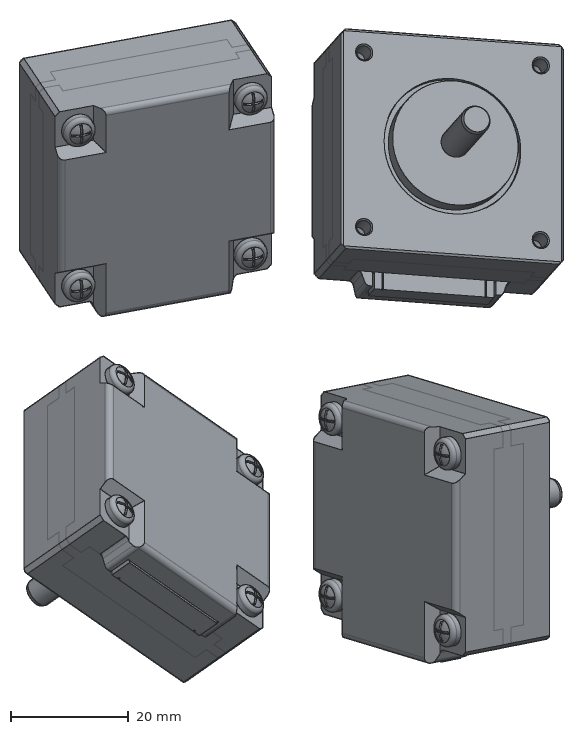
import cadquery as cq
import math


body_size = 39.0
body_length = 20.8
half_size = body_size / 2
corner_chamfer = 0.8
front_chamfer_depth = 0.4
front_chamfer_width = 0.2
rear_fillet = 1.0

shaft_diameter = 5.0
shaft_reach = 16.5
shaft_chamfer_length = 0.6
shaft_chamfer_height = 0.25
pilot_diameter = 22.0
pilot_height = 2.0
pilot_groove_diameter = 24.0
pilot_groove_depth = 1.0

bolt_spacing = 31.0
tap_diameter = 2.5
tap_depth = 4.5
tap_mouth_diameter = 3.0
tap_point_angle = 118.0

band_start = 8.6
band_end = 10.4
window_start = 5.9
window_end = 12.4
window_half_length = 15.9

notch_floor = 18.6
notch_edge_at_floor = 12.6
notch_edge_at_rear = 11.1
notch_overrun = 1.0

head_radius = 2.83
head_straight_height = 1.0
shoulder_fillet = 0.83
head_height = 2.39
cross_width = 0.4
cross_length = 3.4
cross_depth = 0.6

outlet_bottom = 22.0
outlet_start = window_end
outlet_root_half_width = 13.35
outlet_flank_top = (12.7, -20.1)
outlet_flank_bottom = (12.2, -21.4)
outlet_bottom_half_width = 11.4
connector_half_width = 10.5
connector_bottom = 22.5
connector_length = 4.2
connector_gap = 0.35
connector_groove_offset = 9.05
connector_groove_width = 0.25
connector_groove_depth = 0.3

corner_signs = [(sy, sz) for sy in (-1, 1) for sz in (-1, 1)]
bolt_places = [(sy * bolt_spacing / 2, sz * bolt_spacing / 2) for sy, sz in corner_signs]


def block(x0, x1, y0, y1, z0, z1):
    """Box between two corner points."""
    return cq.Workplane("XY").box(x1 - x0, y1 - y0, z1 - z0, centered=False).translate((x0, y0, z0))


def cylinder(diameter, x0, x1):
    """Cylinder on the shaft axis."""
    return cq.Workplane("YZ", origin=(x0, 0, 0)).circle(diameter / 2).extrude(x1 - x0)


def make_body():
    """Square body with a chamfered front rim and chamfered long corners."""
    body = block(0, body_length, -half_size, half_size, -half_size, half_size)
    front_edges = body.faces("<X").edges()
    body = front_edges.chamfer(front_chamfer_depth, front_chamfer_width)
    corners = cq.Workplane("YZ").rect(body_size, body_size).extrude(body_length)
    return body.intersect(corners.edges("|X").chamfer(corner_chamfer))


def make_outlet():
    """Flared outlet whose flanks blend into the body and round off at the bottom."""
    half = (
        cq.Workplane("YZ", origin=(outlet_start, 0, 0))
        .moveTo(0, -half_size + corner_chamfer)
        .lineTo(0, -outlet_bottom)
        .lineTo(outlet_bottom_half_width, -outlet_bottom)
        .tangentArcPoint(outlet_flank_bottom, relative=False)
        .lineTo(*outlet_flank_top)
        .tangentArcPoint((outlet_root_half_width, -half_size), relative=False)
        .lineTo(outlet_root_half_width, -half_size + corner_chamfer)
        .close()
        .extrude(body_length - outlet_start)
    )
    return half.union(half.mirror("XZ"))


def make_rounded_envelope():
    """Block that bounds body and outlet, with the rear rim rounded."""
    envelope = block(0, body_length, -half_size, half_size, -outlet_bottom, half_size)
    return envelope.faces(">X").edges().fillet(rear_fillet)


def make_notch(sign_y, sign_z):
    """Square corner pocket whose two inner walls flare open toward the rear."""
    outer = outlet_bottom + notch_overrun
    depth = body_length - notch_floor
    side_at_floor = outer - notch_edge_at_floor
    side_at_rear = outer - notch_edge_at_rear
    middle = (notch_edge_at_floor + outer) / 2
    shift = (notch_edge_at_rear - notch_edge_at_floor) / 2
    return (
        cq.Workplane("YZ", origin=(notch_floor, 0, 0))
        .center(sign_y * middle, sign_z * middle)
        .rect(side_at_floor, side_at_floor)
        .workplane(offset=depth)
        .center(sign_y * shift, sign_z * shift)
        .rect(side_at_rear, side_at_rear)
        .loft(ruled=True)
    )


def make_screw_head():
    """Pan head with a rounded shoulder, a domed crown and a cross recess, standing on the origin along +X."""
    shoulder_height = head_straight_height + shoulder_fillet
    crown_radius = head_radius - shoulder_fillet
    crown_height = head_height - shoulder_height
    crown_sphere_radius = (crown_radius**2 + crown_height**2) / (2 * crown_height)
    head = (
        cq.Workplane("XY")
        .lineTo(0, head_radius)
        .lineTo(head_straight_height, head_radius)
        .tangentArcPoint((shoulder_height, crown_radius), relative=False)
        .radiusArc((head_height, 0), crown_sphere_radius)
        .close()
        .revolve(360, (0, 0, 0), (1, 0, 0))
    )
    recess = cq.Workplane("YZ", origin=(head_height - cross_depth, 0, 0))
    for size in ((cross_width, cross_length), (cross_length, cross_width)):
        head = head.cut(recess.rect(*size).extrude(cross_depth))
    return head


def make_shaft():
    """Shaft with a chamfered tip."""
    shaft = cylinder(shaft_diameter, -shaft_reach, 0)
    return shaft.faces("<X").chamfer(shaft_chamfer_length, shaft_chamfer_height)


def make_pilot_groove():
    """Ring cut into the mounting face around the pilot boss."""
    groove = cylinder(pilot_groove_diameter, 0, pilot_groove_depth)
    return groove.cut(cylinder(pilot_diameter, 0, pilot_groove_depth))


def make_tapped_hole():
    """Blind hole with a conical end and a chamfered mouth, running from the origin along +X."""
    tap_radius = tap_diameter / 2
    mouth_radius = tap_mouth_diameter / 2
    point_length = tap_radius / math.tan(math.radians(tap_point_angle / 2))
    return (
        cq.Workplane("XY")
        .lineTo(0, mouth_radius)
        .lineTo(mouth_radius - tap_radius, tap_radius)
        .lineTo(tap_depth, tap_radius)
        .lineTo(tap_depth + point_length, 0)
        .close()
        .revolve(360, (0, 0, 0), (1, 0, 0))
    )


def make_connector_block(half_width):
    """Block as long and as tall as the connector, with the given half width."""
    return block(
        outlet_start,
        outlet_start + connector_length,
        -half_width,
        half_width,
        -connector_bottom,
        -half_size,
    )


def make_connector():
    """Connector housing with a narrow groove near each end of its front face."""
    connector = make_connector_block(connector_half_width)
    for side in (-1, 1):
        middle = side * connector_groove_offset
        groove = block(
            outlet_start,
            outlet_start + connector_groove_depth,
            middle - connector_groove_width / 2,
            middle + connector_groove_width / 2,
            -connector_bottom,
            -half_size,
        )
        connector = connector.cut(groove)
    return connector


def make_stator_envelope():
    """Band around the whole body, with a wider window through it in each direction."""
    band = block(band_start, band_end, -half_size, half_size, -half_size, half_size)
    across_y = block(
        window_start, window_end, -half_size, half_size, -window_half_length, window_half_length
    )
    across_z = across_y.rotate((0, 0, 0), (1, 0, 0), 90)
    return band.union(across_y).union(across_z)


result = make_body().union(make_outlet()).intersect(make_rounded_envelope())
for signs in corner_signs:
    result = result.cut(make_notch(*signs))

connector_seat = make_connector_block(connector_half_width + connector_gap)
result = result.cut(connector_seat).union(make_connector())

result = result.cut(make_pilot_groove())
result = result.union(cylinder(pilot_diameter, -pilot_height, 0)).union(make_shaft())
for y, z in bolt_places:
    result = result.cut(make_tapped_hole().translate((0, y, z)))

for y, z in bolt_places:
    result = result.union(make_screw_head().translate((notch_floor, y, z)))

stator_envelope = make_stator_envelope()
stator = result.intersect(stator_envelope)
result = result.cut(stator_envelope).union(stator, clean=False)